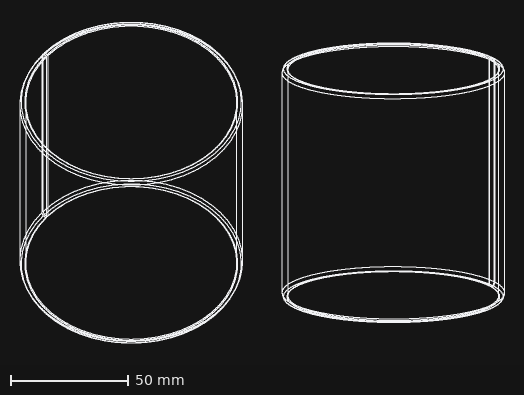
import cadquery as cq

length = 100.0
outer_diameter = 95.0
wall = 2.5
inner_diameter = outer_diameter - 2 * wall

outer_chamfer_height = 1.7
outer_chamfer_depth = 0.6
inner_chamfer = 0.4

seam_angle = 1.0

outer_radius = outer_diameter / 2
inner_radius = inner_diameter / 2


def bushing_wall():
    """Revolve the chamfered wall section about Z, leaving the seam open."""
    return (
        cq.Workplane("XZ")
        .moveTo(inner_radius + inner_chamfer, 0)
        .lineTo(outer_radius - outer_chamfer_depth, 0)
        .lineTo(outer_radius, outer_chamfer_height)
        .lineTo(outer_radius, length - outer_chamfer_height)
        .lineTo(outer_radius - outer_chamfer_depth, length)
        .lineTo(inner_radius + inner_chamfer, length)
        .lineTo(inner_radius, length - inner_chamfer)
        .lineTo(inner_radius, inner_chamfer)
        .close()
        .revolve(360 - seam_angle, (0, 0, 0), (0, 1, 0))
        .rotate((0, 0, 0), (0, 0, 1), 180)
    )


result = bushing_wall()